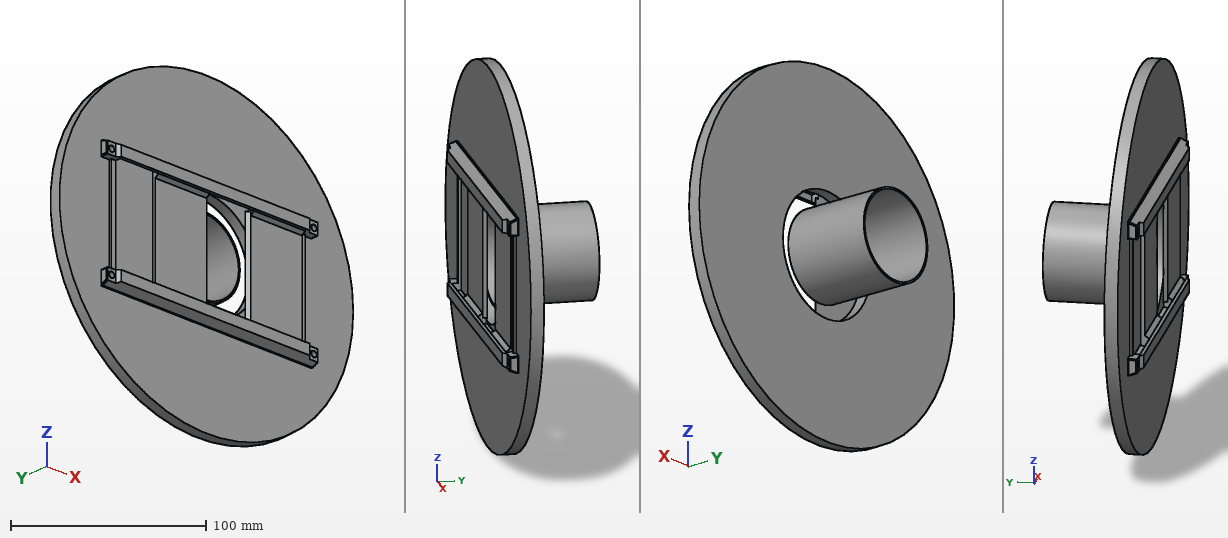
import cadquery as cq


flange_diameter = 203.2
flange_thickness = 7.0
port_diameter = 69.5
tube_outer_diameter = 51.0
tube_inner_diameter = 49.0
tube_front_y = 2.5
tube_end_y = 52.8

frame_length = 146.3
frame_depth = 7.0
rail_inner_z = 32.1
rail_outer_z = 41.2
rail_front_outer_z = 38.8
rail_land_depth = 1.0
rail_end_chamfer = 0.6
foot_depth = 4.9
foot_step_x = 67.0
foot_step_run = frame_depth - foot_depth
crossbar_depth = 1.5
crossbar_width = 3.0
opening_half_length = foot_step_x - crossbar_width
screw_hole_diameter = 3.7
screw_hole_x = 70.0
screw_hole_z = 35.8

door_width = 37.5
door_gap = 0.5
door_face_depth = 2.5
door_bevel = door_face_depth - door_gap
door_bevel_half_height = 32.7
door_rim_depth = 4.9
door_rim_run = 1.8
door_rim_foot_z = rail_inner_z - door_rim_run
groove_z = 36.0


def box(x_min, x_max, y_min, y_max, z_min, z_max):
    """Block between the given limits."""
    size = (x_max - x_min, y_max - y_min, z_max - z_min)
    return cq.Workplane("XY").box(*size, centered=False).translate((x_min, y_min, z_min))


def disc(diameter, y_min, y_max):
    """Cylinder along Y between the given limits."""
    return cq.Workplane("XZ", origin=(0, y_max, 0)).circle(diameter / 2).extrude(y_max - y_min)


def make_flange():
    flange = disc(flange_diameter, 0, flange_thickness)
    return flange.cut(disc(port_diameter, 0, flange_thickness))


def make_tube():
    tube = disc(tube_outer_diameter, tube_front_y, tube_end_y)
    return tube.cut(disc(tube_inner_diameter, tube_front_y, tube_end_y))


def make_upper_rail():
    """Rail with a sloped outer side, low feet at its ends and a door groove."""
    half_length = frame_length / 2
    section = [
        (0, rail_inner_z),
        (0, rail_outer_z),
        (-rail_land_depth, rail_outer_z),
        (-frame_depth, rail_front_outer_z),
        (-frame_depth, rail_inner_z),
    ]
    rail = cq.Workplane("YZ", origin=(-half_length, 0, 0)).polyline(section).close().extrude(frame_length)

    side_outline = [
        (-half_length, 0),
        (-half_length, -foot_depth),
        (-foot_step_x, -foot_depth),
        (-foot_step_x + foot_step_run, -frame_depth),
        (foot_step_x - foot_step_run, -frame_depth),
        (foot_step_x, -foot_depth),
        (half_length, -foot_depth),
        (half_length, 0),
    ]
    side_block = cq.Workplane("XY").polyline(side_outline).close().extrude(rail_outer_z)
    rail = rail.intersect(side_block)
    rail = rail.faces("<X or >X").chamfer(rail_end_chamfer)

    groove = box(
        -opening_half_length, opening_half_length, -door_rim_depth, 0, rail_inner_z, groove_z
    )
    return rail.cut(groove)


def make_frame():
    upper_rail = make_upper_rail()
    frame = upper_rail.union(upper_rail.mirror("XY"))
    for x_min in (-foot_step_x, opening_half_length):
        crossbar = box(x_min, x_min + crossbar_width, -crossbar_depth, 0, -rail_inner_z, rail_inner_z)
        frame = frame.union(crossbar)
    for x in (-screw_hole_x, screw_hole_x):
        for z in (-screw_hole_z, screw_hole_z):
            frame = frame.cut(disc(screw_hole_diameter, -frame_depth, 0).translate((x, 0, z)))
    return frame


def make_door():
    """Door running from x = 0, its bevelled closing edge, to x = door_width."""
    section = [
        (-door_gap, -groove_z),
        (-door_rim_depth, -groove_z),
        (-door_rim_depth, -rail_inner_z),
        (-door_face_depth, -door_rim_foot_z),
        (-door_face_depth, door_rim_foot_z),
        (-door_rim_depth, rail_inner_z),
        (-door_rim_depth, groove_z),
        (-door_gap, groove_z),
    ]
    panel = (
        cq.Workplane("YZ", origin=(door_bevel, 0, 0))
        .polyline(section).close().extrude(door_width - door_bevel)
    )

    bevel_outline = [
        (0, -door_gap),
        (door_bevel, -door_face_depth),
        (door_bevel, -door_gap),
    ]
    bevel = (
        cq.Workplane("XY", origin=(0, 0, -door_bevel_half_height))
        .polyline(bevel_outline).close().extrude(2 * door_bevel_half_height)
    )
    return panel.union(bevel)


flange = make_flange()
tube = make_tube()
frame = make_frame()

right_door_x = opening_half_length - door_width
left_door = make_door().mirror("YZ")
right_door = make_door().translate((right_door_x, 0, 0))
doors = [left_door, right_door]

result = cq.Compound.makeCompound(
    [flange.val(), tube.val(), frame.val(), *[door.val() for door in doors]]
)